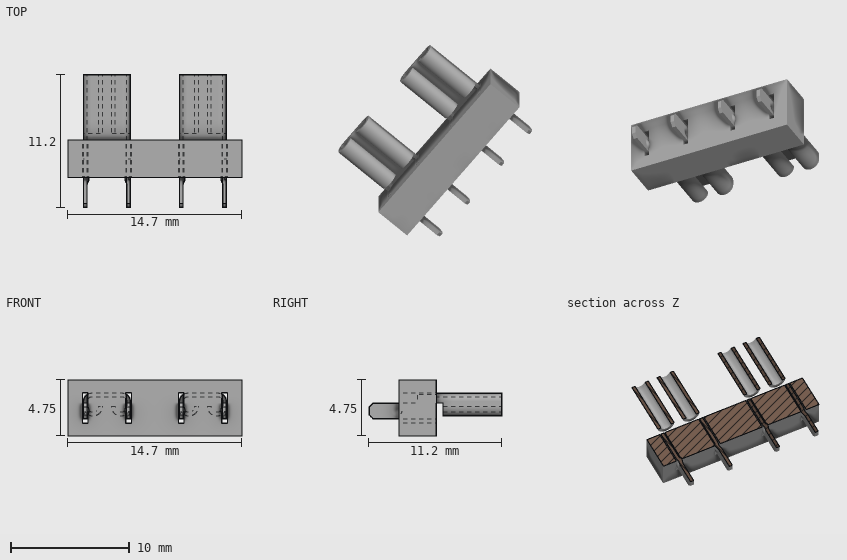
import cadquery as cq
import math

HOUSING_WIDTH = 14.68
HOUSING_DEPTH = 3.18
HOUSING_HEIGHT = 4.75

SLOT_WIDTH = 0.45
SLOT_HEIGHT = 2.54
SLOT_PAIR_SPAN = 4.11

CONTACT_OFFSET = 4.045
CONTACT_WIDTH = 3.96
SHEET = 0.32
OVERALL_LENGTH = 11.18

RECEPTACLE_TOP = 1.25
TOP_RADIUS = 0.68
CURL_RADIUS = 0.80
SIDE_FLAT = 0.44
NOTCH_LENGTH = 0.53

BLADE_LENGTH = 2.50
BLADE_TOP = 0.425
BLADE_HEIGHT = 1.335
TIP_CHAMFER = 0.34

DIMPLE_RADIUS = 0.51
DIMPLE_DEPTH = 0.15
DIMPLE_FLOOR_RADIUS = 0.33
DIMPLE_Y = -0.07

half_width = CONTACT_WIDTH / 2
top_flat_half = half_width - TOP_RADIUS
top_corner_z = RECEPTACLE_TOP - TOP_RADIUS
curl_z = top_corner_z - SIDE_FLAT
curl_center_x = half_width - CURL_RADIUS
back_y = OVERALL_LENGTH - BLADE_LENGTH
blade_bottom = BLADE_TOP - BLADE_HEIGHT
dimple_z = BLADE_TOP - BLADE_HEIGHT / 2
slot_offset = (SLOT_PAIR_SPAN - SLOT_WIDTH) / 2
sides = (-1, 1)
contact_centers = (-CONTACT_OFFSET, CONTACT_OFFSET)


def slab(x_min, x_max, y_min, y_max, z_min, z_max):
    """Box given by its limits."""
    return cq.Workplane("XY").box(
        x_max - x_min, y_max - y_min, z_max - z_min, centered=False
    ).translate((x_min, y_min, z_min))


def on_circle(center_x, center_y, radius, angle):
    """Point on a circle at an angle in degrees."""
    turn = math.radians(angle)
    return center_x + radius * math.cos(turn), center_y + radius * math.sin(turn)


def receptacle():
    """Sheet with rounded upper corners and each lower edge curled half a turn up towards the top plate."""
    top_inner = TOP_RADIUS - SHEET
    curl_inner = CURL_RADIUS - SHEET
    side_inner = half_width - SHEET
    curl_end = curl_center_x - CURL_RADIUS
    outline = (
        cq.Workplane("XZ")
        .moveTo(-top_flat_half, RECEPTACLE_TOP)
        .lineTo(top_flat_half, RECEPTACLE_TOP)
        .threePointArc(on_circle(top_flat_half, top_corner_z, TOP_RADIUS, 45), (half_width, top_corner_z))
        .lineTo(half_width, curl_z)
        .threePointArc((curl_center_x, curl_z - CURL_RADIUS), (curl_end, curl_z))
        .lineTo(curl_end + SHEET, curl_z)
        .threePointArc((curl_center_x, curl_z - curl_inner), (side_inner, curl_z))
        .lineTo(side_inner, top_corner_z)
        .threePointArc(
            on_circle(top_flat_half, top_corner_z, top_inner, 45), (top_flat_half, RECEPTACLE_TOP - SHEET)
        )
        .lineTo(-top_flat_half, RECEPTACLE_TOP - SHEET)
        .threePointArc(on_circle(-top_flat_half, top_corner_z, top_inner, 135), (-side_inner, top_corner_z))
        .lineTo(-side_inner, curl_z)
        .threePointArc((-curl_center_x, curl_z - curl_inner), (-curl_end - SHEET, curl_z))
        .lineTo(-curl_end, curl_z)
        .threePointArc((-curl_center_x, curl_z - CURL_RADIUS), (-half_width, curl_z))
        .lineTo(-half_width, top_corner_z)
        .threePointArc(
            on_circle(-top_flat_half, top_corner_z, TOP_RADIUS, 135), (-top_flat_half, RECEPTACLE_TOP)
        )
        .close()
    )
    tube = outline.extrude(-back_y)

    notch = slab(-half_width, half_width, 0, HOUSING_DEPTH + NOTCH_LENGTH, -HOUSING_HEIGHT, BLADE_TOP)
    front_end = slab(-half_width, half_width, 0, HOUSING_DEPTH / 2, BLADE_TOP, RECEPTACLE_TOP)
    between_strips = slab(
        SHEET - half_width, half_width - SHEET, 0, HOUSING_DEPTH, BLADE_TOP, RECEPTACLE_TOP
    )
    return tube.cut(notch).cut(front_end).cut(between_strips)


def pressed_form(floor_radius):
    """Body of revolution of a pressed dimple: a round floor arc running tangent into a flared rim.

    It stands on the YZ plane at the origin and points along +X.
    """
    slope = 2 * math.atan(DIMPLE_DEPTH / DIMPLE_RADIUS)
    flare_radius = DIMPLE_RADIUS / math.sin(slope) - floor_radius
    floor_center = DIMPLE_DEPTH - floor_radius
    return (
        cq.Workplane("XY")
        .lineTo(DIMPLE_DEPTH, 0)
        .threePointArc(
            on_circle(floor_center, 0, floor_radius, math.degrees(slope / 2)),
            on_circle(floor_center, 0, floor_radius, math.degrees(slope)),
        )
        .threePointArc(
            on_circle(flare_radius, DIMPLE_RADIUS, flare_radius, 180 + math.degrees(slope / 2)),
            (0, DIMPLE_RADIUS),
        )
        .close()
        .revolve(360, (0, 0, 0), (1, 0, 0))
        .translate((0, DIMPLE_Y, dimple_z))
    )


def left_blade():
    """Blade on the -X side of a contact, with its dimple."""
    blade = slab(
        -half_width, SHEET - half_width, -BLADE_LENGTH, HOUSING_DEPTH, blade_bottom, BLADE_TOP
    )
    blade = blade.faces("<Y").edges("|X").chamfer(TIP_CHAMFER)
    dimple = pressed_form(DIMPLE_FLOOR_RADIUS).translate((-half_width, 0, 0))
    bump = pressed_form(DIMPLE_FLOOR_RADIUS + SHEET).translate((SHEET - half_width, 0, 0))
    return blade.union(bump).cut(dimple)


def contact():
    """Receptacle with two mirrored blades, centred on X = 0."""
    blade = left_blade()
    return receptacle().union(blade).union(blade.mirror("YZ"))


def housing():
    """Block with through slots and a relief for each blade bump in the slot's inner wall."""
    block = slab(
        -HOUSING_WIDTH / 2, HOUSING_WIDTH / 2, 0, HOUSING_DEPTH, -HOUSING_HEIGHT / 2, HOUSING_HEIGHT / 2
    )
    slot = slab(-SLOT_WIDTH / 2, SLOT_WIDTH / 2, 0, HOUSING_DEPTH, -SLOT_HEIGHT / 2, SLOT_HEIGHT / 2)
    bump = pressed_form(DIMPLE_FLOOR_RADIUS + SHEET).translate((SHEET - half_width, 0, 0))
    for center in contact_centers:
        for side in sides:
            block = block.cut(slot.translate((center + side * slot_offset, 0, 0)))
        for relief in (bump, bump.mirror("YZ")):
            block = block.cut(relief.translate((center, 0, 0)))
    return block


contacts = [contact().translate((center, 0, 0)) for center in contact_centers]

result = cq.Compound.makeCompound([housing().solids().val(), *[piece.solids().val() for piece in contacts]])